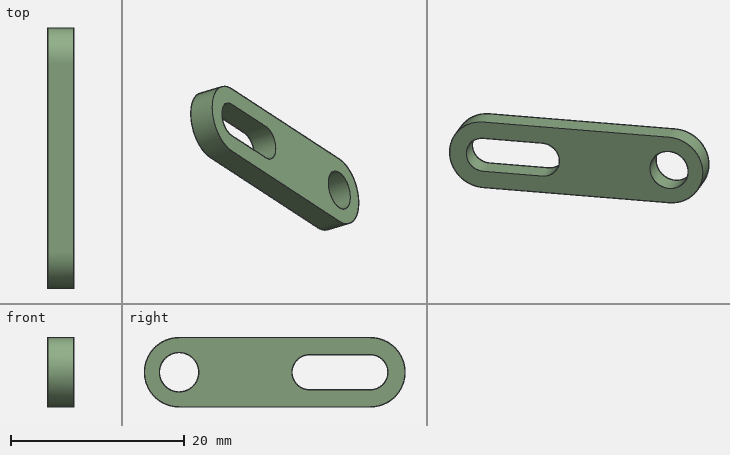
import cadquery as cq

thickness = 3.0
length = 30.0
width = 8.0

hole_diameter = 4.5
slot_width = 4.0
slot_travel = 7.0

end_centre_offset = (length - width) / 2
hole_y = -end_centre_offset
slot_length = slot_travel + slot_width
slot_y = end_centre_offset - slot_travel / 2


def centred_plane():
    """YZ sketch plane at the -X face, so the plate is centred on the origin."""
    return cq.Workplane("YZ", origin=(-thickness / 2, 0, 0))


def make_plate():
    return centred_plane().slot2D(length, width).extrude(thickness)


def make_hole():
    return centred_plane().center(hole_y, 0).circle(hole_diameter / 2).extrude(thickness)


def make_slot():
    return centred_plane().center(slot_y, 0).slot2D(slot_length, slot_width).extrude(thickness)


result = make_plate().cut(make_hole()).cut(make_slot())